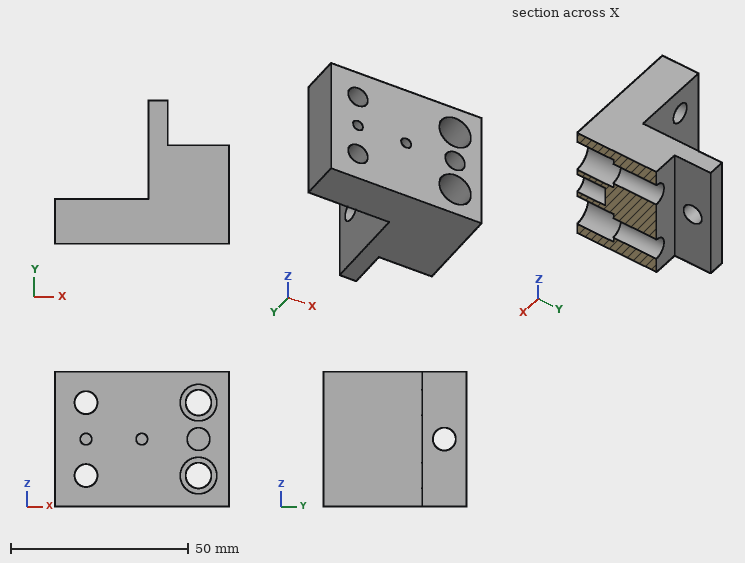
import cadquery as cq

length = 49.2
depth = 40.45
height = 38.1
plate_thickness = 12.7
block_depth = 27.85
tab_start = 26.4
tab_thickness = 5.45
tab_end = tab_start + tab_thickness

left_column = 8.8
right_column = 40.55
middle_column = 24.55
mid_height = height / 2
row_offset = 10.3
plain_hole_diameter = 6.4
bolt_hole_diameter = 7.2
counterbore_diameter = 10.35
counterbore_depth = plate_thickness
pin_hole_diameter = 3.25
pin_hole_depth = 6.4
dowel_hole_depth = 9.85

tab_hole_y = (block_depth + depth) / 2
tab_hole_diameter = 6.4


def front_hole(x, z, diameter, hole_depth):
    """Cylinder running from the front face toward +Y."""
    axis_start = cq.Vector(x, 0, z)
    return cq.Workplane(cq.Solid.makeCylinder(diameter / 2, hole_depth, axis_start, cq.Vector(0, 1, 0)))


body = (
    cq.Workplane("XY")
    .polyline([
        (0, 0),
        (length, 0),
        (length, block_depth),
        (tab_end, block_depth),
        (tab_end, depth),
        (tab_start, depth),
        (tab_start, plate_thickness),
        (0, plate_thickness),
    ])
    .close()
    .extrude(height)
)

for z in (mid_height - row_offset, mid_height + row_offset):
    body = body.cut(front_hole(left_column, z, plain_hole_diameter, plate_thickness))
    body = body.cut(front_hole(right_column, z, bolt_hole_diameter, block_depth))
    body = body.cut(front_hole(right_column, z, counterbore_diameter, counterbore_depth))

for x in (left_column, middle_column):
    body = body.cut(front_hole(x, mid_height, pin_hole_diameter, pin_hole_depth))
body = body.cut(front_hole(right_column, mid_height, plain_hole_diameter, dowel_hole_depth))

tab_hole = cq.Solid.makeCylinder(
    tab_hole_diameter / 2,
    tab_thickness,
    cq.Vector(tab_start, tab_hole_y, mid_height),
    cq.Vector(1, 0, 0),
)
result = body.cut(cq.Workplane(tab_hole))